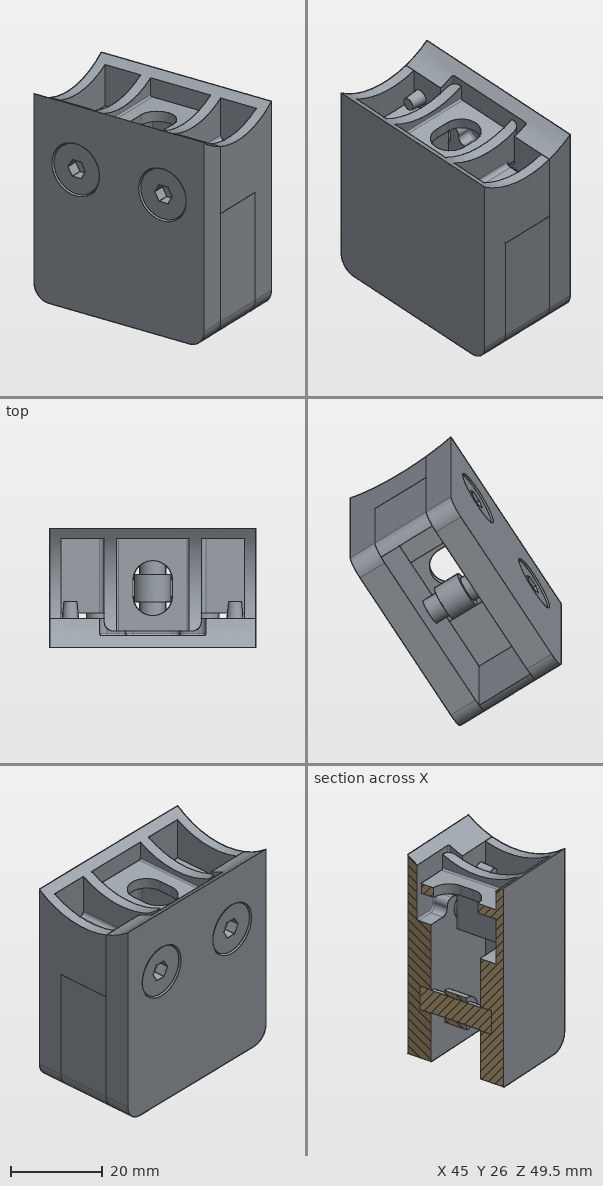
import cadquery as cq
import math


WIDTH = 45.0
DEPTH = 26.0
HEIGHT = 49.45
CORNER_RADIUS = 4.0
RAIL_RADIUS = 21.2
RAIL_AXIS_Z = HEIGHT + math.sqrt(RAIL_RADIUS**2 - (DEPTH / 2) ** 2)
FRONT_Y = -DEPTH / 2
BACK_Y = DEPTH / 2

SLOT_HALF_DEPTH = 6.65
SLOT_TOP_Z = 29.95
COVER_INNER_Y = -SLOT_HALF_DEPTH

END_WALL = 2.5
BACK_WALL = 2.23
POCKET_BACK_Y = BACK_Y - BACK_WALL
POCKET_OUTER_X = WIDTH / 2 - END_WALL
POCKET_FLOOR_Z = 38.05
POCKET_FILLET = 1.0
BLOCK_FRONT_Y = -5.45
BOSS_HALF_WIDTH = 10.6
BOSS_FRONT_Y = -9.35
BOSS_CORNER_RADIUS = 2.0
RIB = 2.65
CHANNEL_HALF_WIDTH = BOSS_HALF_WIDTH - RIB
CHANNEL_FLOOR_Z = 43.45
CHANNEL_FILLET = 0.4
CHANNEL_PLATE = 2.45
CAVITY_TOP_Z = CHANNEL_FLOOR_Z - CHANNEL_PLATE
CAVITY_CORNER_RADIUS = 0.5
RAIL_HOLE_WIDTH = 8.5
RAIL_HOLE_LENGTH = 11.95

RECESS_CLEARANCE = 1.0
RECESS_HALF_WIDTH = BOSS_HALF_WIDTH + RECESS_CLEARANCE
RECESS_FRONT_Y = BOSS_FRONT_Y - RECESS_CLEARANCE
RECESS_FLOOR_Z = POCKET_FLOOR_Z - 0.5
RECESS_STEP_HALF_WIDTH = 5.95
RECESS_STEP = 3.45
RECESS_CORNER_RADIUS = 1.6
RECESS_EDGE_FILLET = 0.4
PEG_X = 17.95
PEG_BASE_RADIUS = 1.8
PEG_TIP_RADIUS = 1.45
PEG_LENGTH = 3.65
PEG_Z = POCKET_FLOOR_Z + PEG_BASE_RADIUS

SCREW_X = 11.45
SCREW_Z = 34.0
SHANK_RADIUS = 3.0
SHANK_END_Y = SLOT_HALF_DEPTH
HEAD_RADIUS = 6.0
HEAD_SEAT_RADIUS = 6.3
HEAD_SETBACK = 0.4
HEAD_THICKNESS = 1.9
HEAD_FRONT_Y = FRONT_Y + HEAD_SETBACK
HEAD_SEAT_Y = HEAD_FRONT_Y + HEAD_THICKNESS
HEX_ACROSS_FLATS = 4.0
HEX_DEPTH = 2.95

PIN_RADIUS = 2.85
PIN_Z = SLOT_TOP_Z / 2
PIN_SEAT_DEPTH = 2.95
PIN_END_Y = SLOT_HALF_DEPTH + PIN_SEAT_DEPTH
SLEEVE_RADIUS = 4.0
SLEEVE_LENGTH = 6.0

CLEAR_Z = HEIGHT + 4.95


def box(x0, x1, y0, y1, z0, z1):
    """Box between two corners."""
    return cq.Workplane("XY").box(x1 - x0, y1 - y0, z1 - z0, centered=False).translate((x0, y0, z0))


def disc(x, z, radius, y0, y1):
    """Cylinder along Y from y0 to y1."""
    plane = cq.Workplane("XZ", origin=(x, y0, z))
    return plane.circle(radius).extrude(y0 - y1)


def clamp_envelope():
    """Whole clamp outline: block with rounded bottom corners and a rail saddle on top."""
    block = box(-WIDTH / 2, WIDTH / 2, FRONT_Y, BACK_Y, 0, HEIGHT)
    block = block.edges("|Y and <Z").fillet(CORNER_RADIUS)
    rail = cq.Workplane("YZ").center(0, RAIL_AXIS_Z).circle(RAIL_RADIUS).extrude(WIDTH, both=True)
    return block.cut(rail)


def side_pocket(side):
    """Space beside the central boss: a pocket above the screw block, and a gap in front of the block."""
    x_inner = side * BOSS_HALF_WIDTH
    x_outer = side * POCKET_OUTER_X
    x0 = min(x_inner, x_outer)
    x1 = max(x_inner, x_outer)
    pocket = box(x0, x1, COVER_INNER_Y, POCKET_BACK_Y, POCKET_FLOOR_Z, CLEAR_Z)
    rib_face = "<X" if side > 0 else ">X"
    return pocket.faces(rib_face).edges("<Z").fillet(POCKET_FILLET)


def housing_boss():
    """Central boss that carries the two ribs forward into the cover recess."""
    boss = box(
        -BOSS_HALF_WIDTH, BOSS_HALF_WIDTH, BOSS_FRONT_Y, BLOCK_FRONT_Y, POCKET_FLOOR_Z, CLEAR_Z
    )
    return boss.edges("|Z and <Y").fillet(BOSS_CORNER_RADIUS)


def rail_channel():
    """Channel between the ribs, with rounded feet along the ribs."""
    channel = box(
        -CHANNEL_HALF_WIDTH, CHANNEL_HALF_WIDTH, BOSS_FRONT_Y, POCKET_BACK_Y, CHANNEL_FLOOR_Z, CLEAR_Z
    )
    return channel.faces("<Z").edges("|Y").fillet(CHANNEL_FILLET)


def central_cavity():
    """Hollow under the channel floor, open to the front and down into the panel slot."""
    cavity = box(
        -CHANNEL_HALF_WIDTH, CHANNEL_HALF_WIDTH, BOSS_FRONT_Y, POCKET_BACK_Y, SLOT_TOP_Z, CAVITY_TOP_Z
    )
    return cavity.edges("|Z and >Y").fillet(CAVITY_CORNER_RADIUS)


def rail_hole():
    """Slotted hole through the channel floor for the rail screw."""
    plane = cq.Workplane("XY", origin=(0, 0, CAVITY_TOP_Z))
    return plane.slot2D(RAIL_HOLE_LENGTH, RAIL_HOLE_WIDTH, 90).extrude(CHANNEL_PLATE)


def panel_slot():
    """Slot along the full width that takes the panel."""
    return box(-WIDTH / 2, WIDTH / 2, -SLOT_HALF_DEPTH, SLOT_HALF_DEPTH, 0, SLOT_TOP_Z)


def make_housing(envelope):
    body = box(-WIDTH / 2, WIDTH / 2, COVER_INNER_Y, BACK_Y, 0, CLEAR_Z)
    front_gap = box(
        -POCKET_OUTER_X, POCKET_OUTER_X, COVER_INNER_Y, BLOCK_FRONT_Y, SLOT_TOP_Z, CLEAR_Z
    )
    body = body.cut(front_gap).union(housing_boss()).intersect(envelope)
    body = body.cut(panel_slot()).cut(rail_channel()).cut(central_cavity()).cut(rail_hole())
    for side in (-1, 1):
        body = body.cut(side_pocket(side))
        body = body.cut(disc(side * SCREW_X, SCREW_Z, SHANK_RADIUS, COVER_INNER_Y, SHANK_END_Y))
    return body.cut(disc(0, PIN_Z, PIN_RADIUS, SLOT_HALF_DEPTH, PIN_END_Y))


def cover_recess():
    """Stepped recess around the housing boss, deeper in Z at the middle and open at the top."""
    low_z = RECESS_FLOOR_Z - RECESS_STEP
    depth = COVER_INNER_Y - RECESS_FRONT_Y
    outline = [
        (-RECESS_HALF_WIDTH, CLEAR_Z),
        (-RECESS_HALF_WIDTH, RECESS_FLOOR_Z),
        (-RECESS_STEP_HALF_WIDTH, RECESS_FLOOR_Z),
        (-RECESS_STEP_HALF_WIDTH, low_z),
        (RECESS_STEP_HALF_WIDTH, low_z),
        (RECESS_STEP_HALF_WIDTH, RECESS_FLOOR_Z),
        (RECESS_HALF_WIDTH, RECESS_FLOOR_Z),
        (RECESS_HALF_WIDTH, CLEAR_Z),
    ]
    recess = cq.Workplane("XZ", origin=(0, COVER_INNER_Y, 0)).polyline(outline).close().extrude(depth)
    recess = recess.edges("|Y").fillet(RECESS_CORNER_RADIUS)
    return recess.faces("<Y").edges().fillet(RECESS_EDGE_FILLET)


def locating_peg(x):
    """Tapered peg on the inner face of the cover."""
    base = cq.Workplane("XZ", origin=(x, COVER_INNER_Y, PEG_Z)).circle(PEG_BASE_RADIUS)
    return base.workplane(offset=-PEG_LENGTH).circle(PEG_TIP_RADIUS).loft()


def make_cover(envelope):
    body = box(-WIDTH / 2, WIDTH / 2, FRONT_Y, COVER_INNER_Y, 0, CLEAR_Z).intersect(envelope)
    body = body.cut(cover_recess())
    for side in (-1, 1):
        body = body.cut(disc(side * SCREW_X, SCREW_Z, HEAD_SEAT_RADIUS, FRONT_Y, HEAD_SEAT_Y))
        body = body.cut(disc(side * SCREW_X, SCREW_Z, SHANK_RADIUS, HEAD_SEAT_Y, COVER_INNER_Y))
        body = body.union(locating_peg(side * PEG_X))
    return body.cut(disc(0, PIN_Z, PIN_RADIUS, -PIN_END_Y, COVER_INNER_Y))


def make_screw(x):
    """Flat-headed hexagon socket screw."""
    head = disc(x, SCREW_Z, HEAD_RADIUS, HEAD_FRONT_Y, HEAD_SEAT_Y)
    shank = disc(x, SCREW_Z, SHANK_RADIUS, HEAD_SEAT_Y, SHANK_END_Y)
    across_corners = HEX_ACROSS_FLATS / math.cos(math.radians(30))
    socket = cq.Workplane("XZ", origin=(x, HEAD_FRONT_Y, SCREW_Z)).polygon(6, across_corners)
    return head.union(shank).cut(socket.extrude(-HEX_DEPTH))


def make_end_insert(side, envelope):
    """Plate that closes one end of the panel slot, flush with the clamp outline."""
    middle_x = side * (WIDTH - END_WALL) / 2
    plate = box(
        middle_x - END_WALL / 2, middle_x + END_WALL / 2, -SLOT_HALF_DEPTH, SLOT_HALF_DEPTH, 0, SLOT_TOP_Z
    )
    return plate.intersect(envelope)


def make_pin():
    """Safety pin across the panel slot, seated in the housing and the cover."""
    return disc(0, PIN_Z, PIN_RADIUS, -PIN_END_Y, PIN_END_Y)


def make_sleeve():
    """Sleeve on the middle of the safety pin."""
    blank = disc(0, PIN_Z, SLEEVE_RADIUS, -SLEEVE_LENGTH / 2, SLEEVE_LENGTH / 2)
    return blank.cut(make_pin())


clamp = clamp_envelope()
housing = make_housing(clamp)
cover = make_cover(clamp)
screws = [make_screw(side * SCREW_X) for side in (-1, 1)]
end_inserts = [make_end_insert(side, clamp) for side in (-1, 1)]
pin = make_pin()
sleeve = make_sleeve()

result = cq.Compound.makeCompound(
    [
        housing.val(),
        cover.val(),
        *[screw.val() for screw in screws],
        *[insert.val() for insert in end_inserts],
        pin.val(),
        sleeve.val(),
    ]
)